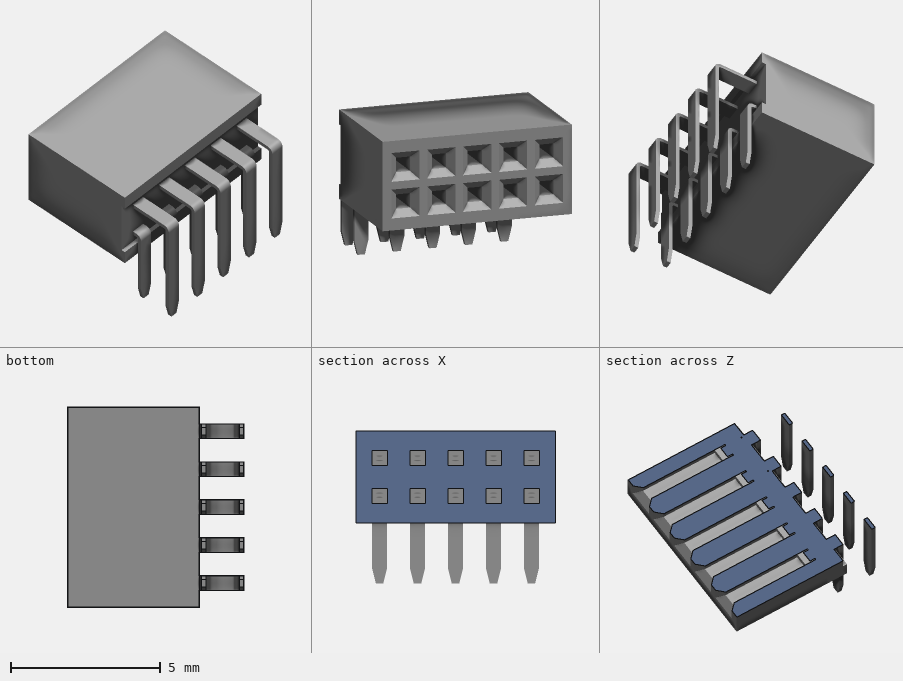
import cadquery as cq


pitch = 1.27
column_count = 5
row_count = 2

housing_length = 4.4
housing_width = 6.7
housing_height = 3.1
rear_recess_depth = 0.15
rear_lip_height = 0.52

mouth_size = 1.0
cavity_size = 0.5
funnel_depth = (mouth_size - cavity_size) / 2
cavity_depth = 3.5
floor_step = 0.4
contact_stub_width = 0.43
contact_stub_length = 0.2

tail_width = 0.5
tail_thickness = 0.15
bend_inner_radius = 0.07
bend_outer_radius = bend_inner_radius + tail_thickness
tail_reach = 5.89
tail_drop = 2.02
tip_width = 0.25
tip_height = 0.5
tail_embed = 0.3

rear_wall_x = housing_length - rear_recess_depth
column_positions = [(i - (column_count - 1) / 2) * pitch for i in range(column_count)]
row_heights = [housing_height / 2 + (i - (row_count - 1) / 2) * pitch for i in range(row_count)]


def make_box(x_start, x_end, y_center, width, z_start, z_end):
    """Box spanning the given X and Z ranges, centred on y_center."""
    size = (x_end - x_start, width, z_end - z_start)
    corner = (x_start, y_center - width / 2, z_start)
    return cq.Workplane("XY").box(*size, centered=False).translate(corner)


def make_housing():
    """Plain block with a full-width recess across the rear face."""
    block = make_box(0, housing_length, 0, housing_width, 0, housing_height)
    recess = make_box(
        rear_wall_x, housing_length, 0, housing_width,
        rear_lip_height, housing_height - rear_lip_height,
    )
    return block.cut(recess)


def make_socket(y, z):
    """Socket void: the floor steps at the contact's outer face and leaves a contact stub standing."""
    funnel = (
        cq.Workplane("YZ")
        .center(y, z)
        .rect(mouth_size, mouth_size)
        .workplane(offset=funnel_depth)
        .rect(cavity_size, cavity_size)
        .loft(combine=True)
    )
    half_cavity = cavity_size / 2
    half_contact = tail_thickness / 2
    cavity = make_box(funnel_depth, cavity_depth, y, cavity_size, z - half_cavity, z + half_cavity)

    shelf_x = cavity_depth - floor_step
    if z > housing_height / 2:
        shelf_range = (z + half_contact, z + half_cavity)
    else:
        shelf_range = (z - half_cavity, z - half_contact)
    shelf = make_box(shelf_x, cavity_depth, y, cavity_size, *shelf_range)

    stub_x = cavity_depth - contact_stub_length
    stub = make_box(stub_x, cavity_depth, y, contact_stub_width, z - half_contact, z + half_contact)
    return funnel.union(cavity).cut(shelf).cut(stub)


def make_tail(y, z):
    """Flat tail running rearwards at height z, bent down and tapered at the tip."""
    outer_x = tail_reach - (row_heights[-1] - z)
    top_z = z + tail_thickness / 2
    start_x = rear_wall_x - tail_embed
    strip = (
        make_box(start_x, outer_x, y, tail_width, -tail_drop, top_z)
        .edges("|Y and >X and >Z")
        .fillet(bend_outer_radius)
    )
    inside_of_bend = (
        make_box(
            start_x, outer_x - tail_thickness, y, tail_width,
            -tail_drop, top_z - tail_thickness,
        )
        .edges("|Y and >X and >Z")
        .fillet(bend_inner_radius)
    )
    half_width = tail_width / 2
    half_tip = tip_width / 2
    taper_z = tip_height - tail_drop
    pointed_outline = (
        cq.Workplane("YZ")
        .polyline([
            (y - half_width, top_z),
            (y - half_width, taper_z),
            (y - half_tip, -tail_drop),
            (y + half_tip, -tail_drop),
            (y + half_width, taper_z),
            (y + half_width, top_z),
        ])
        .close()
        .extrude(tail_reach)
    )
    return strip.cut(inside_of_bend).intersect(pointed_outline)


result = make_housing()
for row_z in row_heights:
    for column_y in column_positions:
        result = result.cut(make_socket(column_y, row_z))
        result = result.union(make_tail(column_y, row_z))